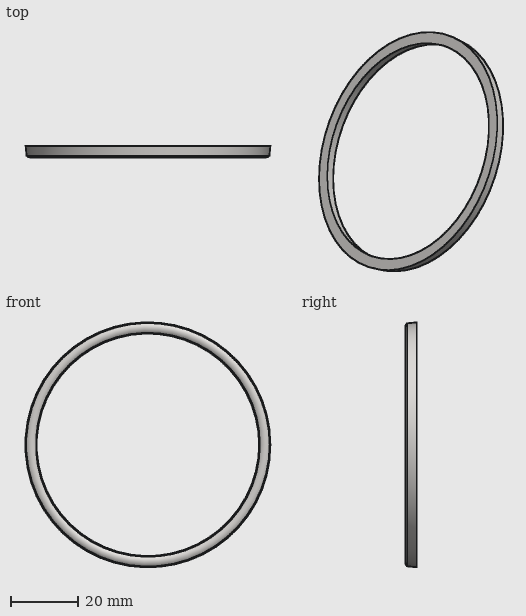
import cadquery as cq

outer_diameter = 72.9
radial_width = 3.4
depth = 3.5
dome_height = 0.6
side_taper = 0.3

outer_radius = outer_diameter / 2
inner_radius = outer_radius - radial_width
middle_radius = (outer_radius + inner_radius) / 2
dome_edge_y = -(depth - dome_height)

section = (
    cq.Workplane("XY")
    .moveTo(inner_radius, 0)
    .lineTo(outer_radius, 0)
    .lineTo(outer_radius - side_taper, dome_edge_y)
    .threePointArc((middle_radius, -depth), (inner_radius + side_taper, dome_edge_y))
    .close()
)

result = section.revolve(360, (0, 0, 0), (0, 1, 0))